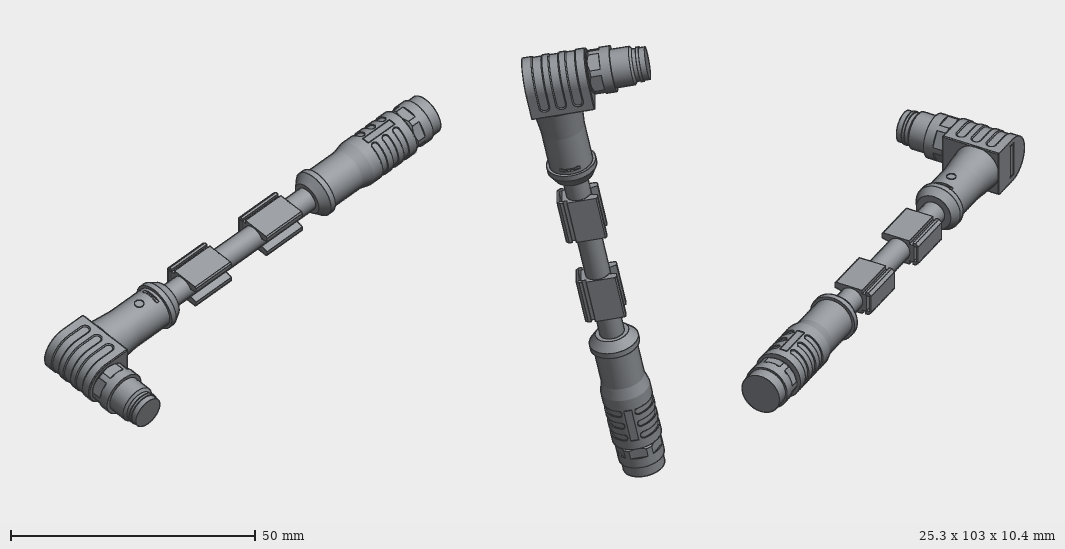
import cadquery as cq
import math

length = 103.0
body_radius = 5.2
nose_end = 20.1
cable_radius = 2.6
sleeve_radius = 4.5
socket_radius = 8.8 / 2
angled_sleeve_radius = 4.5
collar_radius = body_radius
straight_mouth_radius = 3.5

nut_radius = 9.6 / 2
nut_flat = 4.4
nut_flat_count = 6
nut_chamfer = 0.5
neck_radius = 3.8

socket_shoulder = 100.4
socket_flat_end = 98.2
socket_nut_end = 95.8
grip_end = 95.5
grip_start = 83.2
sleeve_taper_end = 80.8
straight_collar_end = 72.4
straight_collar_start = 71.2
straight_mouth = 69.3

grip_groove_width = 1.5
grip_groove_middle = 89.6
grip_groove_pitch = 3.0
grip_groove_gap = 1.3
grip_groove_depth = 0.3
bar_width = 1.6
bar_depth = 0.2

elbow_height = 11.0
elbow_taper_end = 17.4
angled_collar_start = 26.2
angled_collar_end = 27.4
angled_mouth = 29.4
angled_mouth_radius = 4.0
dimple_y = 21.8
dimple_radius = 0.98
dimple_depth = 0.2
notch_start = 24.8
notch_width = 0.6
notch_half_height = 4.0

elbow_end = 8.0
elbow_chamfer = 0.2
elbow_groove_width = 2.3
elbow_groove_floor_width = 1.8
elbow_groove_middle = 1.4
elbow_groove_pitch = 3.5
elbow_groove_tip = 9.6
elbow_groove_depth = 0.2
label_slot_y = 5.3
label_slot_width = 1.5
label_slot_length = 7.8
label_slot_depth = 0.2
nose_nut_start = 8.1
nose_flat_end = 10.8
nose_nut_end = 13.0
nose_radius = 4.0
nose_tip_radius = 3.4
nose_chamfer = 0.5
nose_shoulder = 17.4
nose_ring_start = 18.2
nose_ring_end = 18.8
nose_ring_radius = 3.6

clip_length = 10.0
clip_starts = (34.2, 54.3)
clip_half_height = 2.9
clip_mouth_x = 3.9
clip_corner = 0.3
clip_body_x = -2.5
clip_rail_x = -3.3
clip_plate_x = -4.5
clip_plate_chamfer = 0.6
clip_plate_half_height = 2.7
clip_rail_half_height = 2.1
label_window_x = -3.8
label_window_width = 0.6
label_window_height = 3.7
clip_mouth_half_height = 1.5
clip_throat_half_height = 0.8


def turned_along_y(stations):
    """Revolve (radius, y) stations about the Y axis."""
    first_y = stations[0][1]
    last_y = stations[-1][1]
    outline = [(0, first_y)] + stations + [(0, last_y)]
    return cq.Workplane("XY").polyline(outline).close().revolve(360, (0, 0, 0), (0, 1, 0))


def turned_nose(stations):
    """Revolve (x, radius) stations about the nose axis, parallel to X at Y = body_radius."""
    outline = [(stations[0][0], 0)] + stations + [(stations[-1][0], 0)]
    plane = cq.Workplane("XY", origin=(0, body_radius, 0))
    return plane.polyline(outline).close().revolve(360, (0, 0, 0), (1, 0, 0))


def nut_flat_cutters(start, end):
    """Blocks around the X axis that mill wrench flats between two stations."""
    block = cq.Workplane("XY").box(
        end - start, nut_radius, nut_radius, centered=(False, True, False)
    ).translate((start, 0, nut_flat))
    cutters = cq.Workplane("XY")
    for index in range(nut_flat_count):
        cutters = cutters.add(block.rotate((0, 0, 0), (1, 0, 0), index * 360 / nut_flat_count))
    return cutters.combine()


def straight_connector():
    body = turned_along_y([
        (straight_mouth_radius, straight_mouth),
        (collar_radius, straight_collar_start),
        (collar_radius, straight_collar_end),
        (sleeve_radius, straight_collar_end),
        (sleeve_radius, sleeve_taper_end),
        (body_radius, grip_start),
        (body_radius, grip_end),
        (neck_radius, grip_end),
        (neck_radius, socket_nut_end),
        (nut_radius - nut_chamfer, socket_nut_end),
        (nut_radius, socket_nut_end + nut_chamfer),
        (nut_radius, socket_shoulder),
        (socket_radius, socket_shoulder),
        (socket_radius, length),
    ])
    flats = nut_flat_cutters(socket_nut_end, socket_flat_end).rotate((0, 0, 0), (0, 0, 1), 90)
    return body.cut(flats).cut(grip_grooves()).cut(grip_bars())


def grip_grooves():
    """Three grooves round each flank, with round ends beside the bars."""
    groove_length = 2 * body_radius
    slot_center = grip_groove_gap + groove_length / 2
    centers = [
        (side * slot_center, grip_groove_middle + step * grip_groove_pitch)
        for side in (-1, 1)
        for step in (-1, 0, 1)
    ]
    slots = (
        cq.Workplane("XY").pushPoints(centers).slot2D(groove_length, grip_groove_width)
        .extrude(body_radius, both=True)
    )
    floor_radius = body_radius - grip_groove_depth
    core = turned_along_y([(floor_radius, grip_start), (floor_radius, grip_end)])
    return slots.cut(core)


def grip_bars():
    """Long shallow bar recesses on the top and bottom of the grip."""
    bar_length = 2 * grip_groove_pitch + grip_groove_width
    bars = cq.Workplane("XY")
    for side in (-1, 1):
        center_z = side * (body_radius - bar_depth + body_radius / 2)
        bars = bars.add(
            cq.Workplane("XY").box(bar_width, bar_length, body_radius)
            .translate((0, grip_groove_middle, center_z))
        )
    return bars.combine()


def elbow_block():
    """D-shaped prism along X with chamfered edges on the faces that carry the sleeve and the nose."""
    block = (
        cq.Workplane("YZ", origin=(-body_radius, 0, 0))
        .moveTo(elbow_height, -body_radius)
        .lineTo(body_radius, -body_radius)
        .threePointArc((0, 0), (body_radius, body_radius))
        .lineTo(elbow_height, body_radius)
        .close()
        .extrude(elbow_end + body_radius)
    )
    return block.faces(">X or >Y").edges().chamfer(elbow_chamfer)


def elbow_groove(center_x):
    """Finger groove with sloping walls: straight on top and bottom, turned round the bend."""
    half_opening = elbow_groove_width / 2
    half_floor = elbow_groove_floor_width / 2
    floor_radius = body_radius - elbow_groove_depth
    groove = turned_nose([
        (center_x - half_floor, floor_radius),
        (center_x - half_opening, body_radius),
        (center_x + half_opening, body_radius),
        (center_x + half_floor, floor_radius),
    ]).cut(turned_nose([(center_x - half_opening, floor_radius), (center_x + half_opening, floor_radius)]))
    bend_side = cq.Workplane("XY").box(
        4 * body_radius, body_radius, 2 * body_radius, centered=(True, False, True)
    )
    wall_slope = math.degrees(math.atan2(half_opening - half_floor, elbow_groove_depth))
    straight = (
        cq.Workplane("XY", origin=(center_x, elbow_groove_tip / 2, body_radius))
        .slot2D(elbow_groove_tip, elbow_groove_width, 90)
        .extrude(-elbow_groove_depth, taper=wall_slope)
    )
    return groove.intersect(bend_side).union(straight).union(straight.mirror("XY"))


def label_slot():
    """Upright slot in the back face of the elbow."""
    return cq.Workplane("XY").box(
        label_slot_depth, label_slot_width, label_slot_length, centered=(False, True, True)
    ).translate((-body_radius, label_slot_y, 0))


def elbow_sleeve():
    sleeve = turned_along_y([
        (body_radius, elbow_height),
        (angled_sleeve_radius, elbow_taper_end),
        (angled_sleeve_radius, angled_collar_start),
        (collar_radius, angled_collar_start),
        (collar_radius, angled_collar_end),
        (angled_mouth_radius, angled_mouth),
    ])
    dimple = (
        cq.Workplane("XY", origin=(0, dimple_y, angled_sleeve_radius - dimple_depth))
        .circle(dimple_radius).extrude(body_radius)
    )
    sleeve = sleeve.cut(dimple)
    for side in (-1, 1):
        notch = cq.Workplane("XY").box(
            2 * body_radius, notch_width, body_radius, centered=(True, False, True)
        ).translate((0, notch_start, side * (notch_half_height + body_radius / 2)))
        sleeve = sleeve.cut(notch)
    return sleeve


def nose():
    body = turned_nose([
        (0, neck_radius),
        (nose_nut_start, neck_radius),
        (nose_nut_start, nut_radius - nut_chamfer),
        (nose_nut_start + nut_chamfer, nut_radius),
        (nose_nut_end, nut_radius),
        (nose_nut_end, nose_radius),
        (nose_shoulder - nose_chamfer, nose_radius),
        (nose_shoulder, nose_tip_radius),
        (nose_ring_start, nose_tip_radius),
        (nose_ring_start, nose_ring_radius),
        (nose_ring_end, nose_ring_radius),
        (nose_ring_end, nose_tip_radius),
        (nose_end, nose_tip_radius),
    ])
    flats = nut_flat_cutters(nose_nut_start, nose_flat_end).translate((0, body_radius, 0))
    return body.cut(flats)


def clip(start):
    """Snap-on clip: a label holder with a window through it, and two arms open towards +X."""
    upper_half = [
        (clip_mouth_x, clip_mouth_half_height),
        (clip_mouth_x, clip_half_height - clip_corner),
        (clip_mouth_x - clip_corner, clip_half_height),
        (clip_body_x, clip_half_height),
        (clip_body_x, clip_rail_half_height),
        (clip_rail_x, clip_rail_half_height),
        (clip_rail_x, clip_plate_half_height),
        (clip_plate_x + clip_plate_chamfer, clip_plate_half_height),
        (clip_plate_x, clip_plate_half_height - clip_plate_chamfer),
    ]
    lower_half = [(x, -z) for x, z in reversed(upper_half)]
    throat = [(cable_radius / 2, -clip_throat_half_height), (cable_radius / 2, clip_throat_half_height)]
    window = cq.Workplane("XY").box(
        label_window_width, clip_length, label_window_height, centered=(True, False, True)
    ).translate((label_window_x, start, 0))
    body = (
        cq.Workplane("XZ", origin=(0, start, 0))
        .polyline(upper_half + lower_half + throat).close()
        .extrude(-clip_length)
    )
    return body.cut(window)


cable = turned_along_y([(cable_radius, elbow_height), (cable_radius, grip_start)])
elbow = elbow_block().cut(label_slot())
for step in (-1, 0, 1):
    elbow = elbow.cut(elbow_groove(elbow_groove_middle + step * elbow_groove_pitch))

result = cable.union(straight_connector()).union(elbow_sleeve()).union(elbow).union(nose())
for clip_start in clip_starts:
    result = result.union(clip(clip_start))